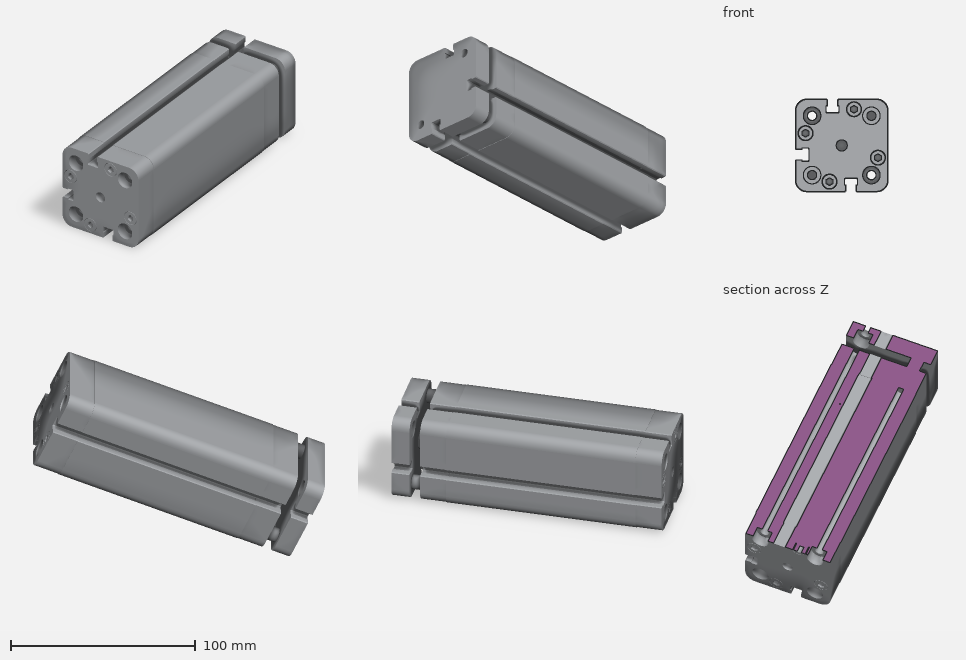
import cadquery as cq
import math

length = 150.5
cap_length = 14.6
gap = 5.9
plate_length = 10.1
tube_length = length - 2 * cap_length - gap - plate_length

tube_width = 50.1
cap_width = 49.7
cap_corner_radius = 6.0
tube_corner_radius = cap_corner_radius + (tube_width - cap_width) / 2

slot_offset = 5.0
slot_mouth_width = 5.5
slot_mouth_chamfer = 0.5
slot_mouth_depth = 3.5
slot_floor_chamfer = 0.5
slot_inner_width = 6.9
slot_depth = 7.0
tube_slot_inner_width = 7.4
tube_slot_depth = 7.4
slot_turns = (0, 90, 180)

mount_spacing = 32.0
mount_hole_diameter = 5.0
mount_bore_diameter = 9.5
mount_bore_depth = 6.0

screw_offset = 6.6
screw_distance = 19.5
screw_bore_diameter = 8.1
screw_head_diameter = 7.7
screw_gap_depth = 5.0
socket_width = 3.6
socket_depth = 3.8

pilot_diameter = 6.0
pilot_depth = 7.5

guide_diameter = 8.0
guide_offset = 17.0
rod_diameter = 12.0
rod_flat_width = 10.1
rod_flat_length = 4.5
rod_chamfer_length = 1.2
rod_chamfer_width = 0.6

tube_start = cap_length
rear_cap_start = tube_start + tube_length
body_end = rear_cap_start + cap_length
plate_start = body_end + gap

cap_blocks = [(0, cap_length), (rear_cap_start, cap_length), (plate_start, plate_length)]


def section_plane(y):
    """Plane across the part at y, sketched as (X, Z); a negative extrusion runs toward +Y."""
    return cq.Workplane(cq.Plane(origin=(0, y, 0), xDir=(1, 0, 0), normal=(0, -1, 0)))


def square_block(y, block_length, width, corner_radius):
    """Square bar along Y with rounded corners."""
    block = section_plane(y).rect(width, width).extrude(-block_length)
    return block.edges("|Y").fillet(corner_radius)


def cylinders(y, points, diameter, cylinder_length):
    """Equal cylinders along Y, starting at y, one at each (X, Z) point."""
    return section_plane(y).pushPoints(points).circle(diameter / 2).extrude(-cylinder_length)


def slot_block(y, block_length, surface, inner_width, depth):
    """Slot cutter for the top face of a block; the face stands at z = surface."""
    floor = cap_width / 2 - depth
    ledge = cap_width / 2 - slot_mouth_depth
    half_mouth = slot_mouth_width / 2
    half_top = half_mouth + slot_mouth_chamfer
    half_inner = inner_width / 2
    right_side = [
        (half_top, surface),
        (half_mouth, surface - slot_mouth_chamfer),
        (half_mouth, ledge),
        (half_inner, ledge),
        (half_inner, floor + slot_floor_chamfer),
        (half_inner - slot_floor_chamfer, floor),
    ]
    left_side = [(-x, z) for x, z in reversed(right_side)]
    profile = section_plane(y).center(-slot_offset, 0).polyline(right_side + left_side).close()
    return profile.extrude(-block_length)


def sensor_slot(turn):
    """Undercut slot along the whole part, turned about Y to the face it belongs to."""
    slot = slot_block(tube_start, tube_length, tube_width / 2, tube_slot_inner_width, tube_slot_depth)
    for y, block_length in cap_blocks:
        slot = slot.union(slot_block(y, block_length, cap_width / 2, slot_inner_width, slot_depth))
    return slot.rotate((0, 0, 0), (0, 1, 0), -turn)


def turned_point(x, z, turn):
    """Turn a point of the section about the part axis."""
    angle = math.radians(turn)
    return (x * math.cos(angle) - z * math.sin(angle), x * math.sin(angle) + z * math.cos(angle))


def cap_screw_recess(center):
    """Ring around the screw head plus its hexagon socket, with a corner pointing up."""
    ring = cylinders(0, [center], screw_bore_diameter, screw_gap_depth)
    ring = ring.cut(cylinders(0, [center], screw_head_diameter, screw_gap_depth))
    socket = section_plane(0).center(*center).polygon(6, socket_width, circumscribed=True)
    socket = socket.extrude(-socket_depth)
    return ring.union(socket)


def piston_rod():
    """Rod with a chamfered end and two wrench flats that ramp out to the full diameter."""
    rod = cylinders(body_end, [(0, 0)], rod_diameter, gap)
    rod = rod.faces(">Y").chamfer(rod_chamfer_length, rod_chamfer_width)
    radius = rod_diameter / 2
    half_flat = rod_flat_width / 2
    flat_start = plate_start - rod_flat_length
    ramp_start = flat_start - (radius - half_flat)
    right_side = [
        (radius, body_end),
        (radius, ramp_start),
        (half_flat, flat_start),
        (half_flat, plate_start),
    ]
    left_side = [(-x, y) for x, y in reversed(right_side)]
    keep = cq.Workplane("XY").polyline(right_side + left_side).close().extrude(radius, both=True)
    return rod.intersect(keep)


body = square_block(tube_start, tube_length, tube_width, tube_corner_radius)
for y, block_length in cap_blocks:
    body = body.union(square_block(y, block_length, cap_width, cap_corner_radius))

guide_points = [(guide_offset, guide_offset), (-guide_offset, -guide_offset)]
body = body.union(cylinders(body_end, guide_points, guide_diameter, gap))
body = body.union(piston_rod())

for turn in slot_turns:
    body = body.cut(sensor_slot(turn))
for turn in (0, 90, 180, 270):
    body = body.cut(cap_screw_recess(turned_point(screw_offset, screw_distance, turn)))

half_spacing = mount_spacing / 2
free_corners = [(-half_spacing, half_spacing), (half_spacing, -half_spacing)]
rod_corners = [(half_spacing, half_spacing), (-half_spacing, -half_spacing)]
all_corners = free_corners + rod_corners
body = body.cut(cylinders(0, free_corners, mount_hole_diameter, length))
body = body.cut(cylinders(0, rod_corners, mount_hole_diameter, rear_cap_start))
body = body.cut(cylinders(0, all_corners, mount_bore_diameter, mount_bore_depth))
body = body.cut(cylinders(plate_start, free_corners, mount_bore_diameter, mount_bore_depth))

result = body.cut(cylinders(0, [(0, 0)], pilot_diameter, pilot_depth))